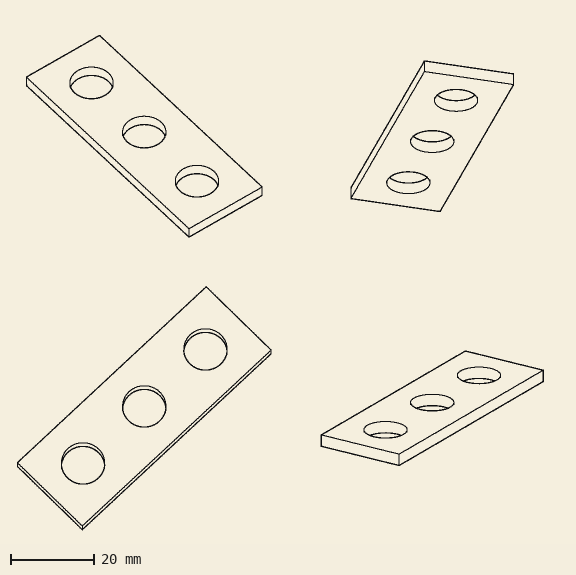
import cadquery as cq

length = 63.5
width = 22.35
thickness = 3.0

hole_diameter = 10.4
hole_count = 3
hole_pitch = 20.6

bar = cq.Workplane("XY").box(length, width, thickness)

result = (
    bar.faces(">Z")
    .workplane()
    .rarray(hole_pitch, width, hole_count, 1)
    .hole(hole_diameter)
)